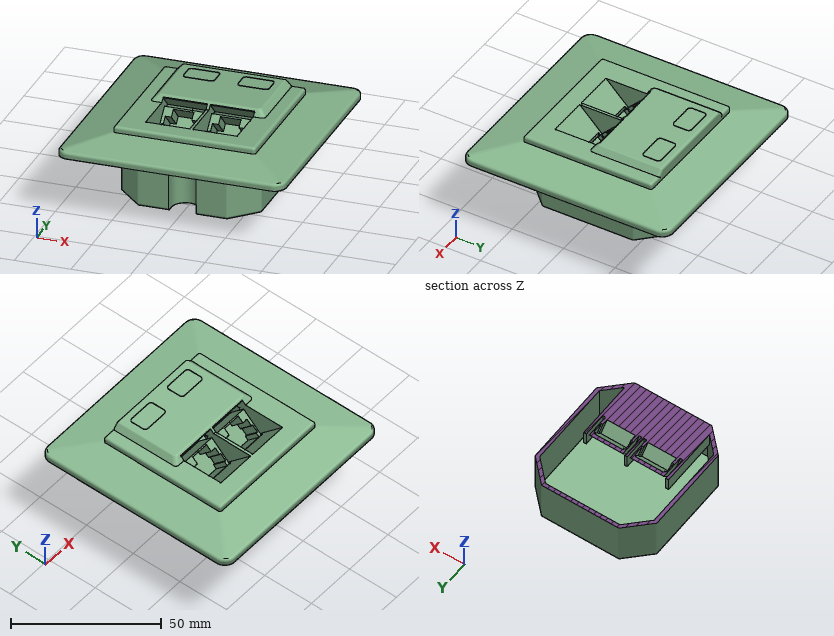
import cadquery as cq
import math

FRAME_SIZE = 80.0
FRAME_EDGE_HEIGHT = 2.2
FRAME_INNER_HEIGHT = 5.0
FRAME_CORNER_RADIUS = 4.2
RIDGE_RADIUS = 5.0
EDGE_ROUNDING = 1.0

INSERT_SIZE = 50.1
INSERT_TOP = 7.0

HOOD_TOP = 9.1
HOOD_WIDTH = 40.3
HOOD_FRONT_Y = -2.2
HOOD_BEVEL = HOOD_TOP - INSERT_TOP
HOOD_CORNER_RADIUS = 2.0

LABEL_WIDTH = 11.0
LABEL_LENGTH = 7.0
LABEL_CORNER_RADIUS = 1.2
LABEL_SPACING = 19.2
LABEL_Y = 18.6
LABEL_DEPTH = 0.2

PLATE_WIDTH = 68.0
PLATE_LENGTH = 27.2
PLATE_THICKNESS = 0.2
BODY_WIDTH = 49.6
BODY_LENGTH = 53.4
BODY_BOTTOM = -19.8
BODY_CORNER_CUT = 9.0
WALL = 1.6
INTERIOR_TOP = 3.8
NOTCH_RADIUS = 4.9
NOTCH_STRAIGHT = 3.0
NOTCH_TOP = -4.9

WINDOW_WIDTH = 15.6
WINDOW_SPACING = 16.6
WINDOW_FRONT_Y = -18.0
WINDOW_BACK_Y = -0.7
WINDOW_BACK_TOP = 8.2
RAMP_FOOT_Y = -9.1

HOLDER_BOTTOM = -8.0
HOLDER_BACK_Y = 0.5
HOLDER_SIDE_WALL = 1.2

JACK_WIDTH = 13.8
JACK_TOP_Y = -2.1
JACK_TOP_Z = 5.8
JACK_BOTTOM_Y = -10.1
JACK_THICKNESS = 7.8
SOCKET_DEPTH = 6.7
SOCKET_WIDTH = 11.4
SOCKET_TOP_Y = -4.5
SOCKET_BOTTOM_Y = -9.7
LATCH_WIDTH = 7.2
LATCH_TOP_Y = -2.5
GROOVE_WIDTH = 12.6
GROOVE_TOP_Y = -6.4
GROOVE_BOTTOM_Y = -8.5

WINDOW_CENTRES = (-WINDOW_SPACING / 2, WINDOW_SPACING / 2)


def block(width, length, bottom, top):
    return cq.Workplane("XY").workplane(offset=bottom).rect(width, length).extrude(top - bottom)


def side_prism(points, width, centre_x):
    """Extrude a (Y, Z) outline along X, centred on centre_x."""
    return (
        cq.Workplane("YZ").polyline(points).close().extrude(width / 2, both=True)
        .translate((centre_x, 0, 0))
    )


def make_frame():
    rise = FRAME_INNER_HEIGHT - FRAME_EDGE_HEIGHT
    slab = block(FRAME_SIZE, FRAME_SIZE, 0, FRAME_INNER_HEIGHT)
    slab = slab.edges("|Z").fillet(FRAME_CORNER_RADIUS)
    base_size = FRAME_SIZE + (FRAME_SIZE - INSERT_SIZE) * FRAME_EDGE_HEIGHT / rise
    pyramid = (
        cq.Workplane("XY").rect(base_size, base_size)
        .workplane(offset=FRAME_INNER_HEIGHT).rect(INSERT_SIZE, INSERT_SIZE)
        .loft(ruled=True)
    )
    pyramid = pyramid.edges("not #Z").fillet(RIDGE_RADIUS)
    frame = slab.intersect(pyramid)
    return frame.faces("<Y").edges(">Z").fillet(EDGE_ROUNDING)


def make_insert():
    insert = block(INSERT_SIZE, INSERT_SIZE, 0, INSERT_TOP)
    return insert.edges("|Z or >Z").fillet(EDGE_ROUNDING)


def make_hood():
    back_y = INSERT_SIZE / 2
    half_width = HOOD_WIDTH / 2
    skirt_z = INSERT_TOP - EDGE_ROUNDING
    side_outline = [
        (back_y, skirt_z),
        (back_y, HOOD_TOP),
        (HOOD_FRONT_Y + HOOD_BEVEL, HOOD_TOP),
        (HOOD_FRONT_Y, INSERT_TOP),
        (HOOD_FRONT_Y, skirt_z),
    ]
    front_outline = [
        (-half_width, skirt_z),
        (-half_width, INSERT_TOP),
        (HOOD_BEVEL - half_width, HOOD_TOP),
        (half_width - HOOD_BEVEL, HOOD_TOP),
        (half_width, INSERT_TOP),
        (half_width, skirt_z),
    ]
    across = cq.Workplane("XZ").polyline(front_outline).close().extrude(INSERT_SIZE, both=True)
    hood = side_prism(side_outline, HOOD_WIDTH, 0).intersect(across)
    hood = hood.edges("not (#X or #Y or #Z)").fillet(HOOD_CORNER_RADIUS)
    hood = hood.faces(">Y").edges("not #Z").fillet(EDGE_ROUNDING)
    return hood.faces(">Z").edges().fillet(EDGE_ROUNDING)


def octagon_block(width, length, corner_cut, bottom, top):
    return block(width, length, bottom, top).edges("|Z").chamfer(corner_cut)


def make_body():
    body = octagon_block(BODY_WIDTH, BODY_LENGTH, BODY_CORNER_CUT, BODY_BOTTOM, 0)
    return body.edges("|Z or <Z").fillet(EDGE_ROUNDING)


def make_notch(radius, top):
    """Round-ended slot running up the front wall of the box."""
    front_y = -BODY_LENGTH / 2
    return (
        cq.Workplane("XY").workplane(offset=BODY_BOTTOM)
        .moveTo(-radius, front_y).lineTo(-radius, front_y + NOTCH_STRAIGHT)
        .threePointArc((0, front_y + NOTCH_STRAIGHT + radius), (radius, front_y + NOTCH_STRAIGHT))
        .lineTo(radius, front_y).close().extrude(top - BODY_BOTTOM)
    )


def make_interior():
    """Hollow of the box, leaving the jack holder and the wall around the notch."""
    floor = BODY_BOTTOM + WALL
    corner_cut = BODY_CORNER_CUT - WALL * (2 - math.sqrt(2))
    interior = octagon_block(
        BODY_WIDTH - 2 * WALL, BODY_LENGTH - 2 * WALL, corner_cut, floor, INTERIOR_TOP)

    holder_width = WINDOW_SPACING + WINDOW_WIDTH + 2 * HOLDER_SIDE_WALL
    holder_length = HOLDER_BACK_Y + BODY_LENGTH / 2
    holder = block(holder_width, holder_length, HOLDER_BOTTOM, INTERIOR_TOP)
    holder = holder.translate((0, HOLDER_BACK_Y - holder_length / 2, 0))
    notch_wall = make_notch(NOTCH_RADIUS + WALL, NOTCH_TOP + WALL)
    return interior.cut(holder).cut(notch_wall)


def make_labels():
    return (
        cq.Workplane("XY").workplane(offset=HOOD_TOP - LABEL_DEPTH).center(0, LABEL_Y)
        .rarray(LABEL_SPACING, 0.8, 2, 1).rect(LABEL_WIDTH, LABEL_LENGTH).extrude(LABEL_DEPTH)
        .edges("|Z").fillet(LABEL_CORNER_RADIUS)
    )


def make_window(centre_x):
    """Shaft into the hollow box, between the front ramp and a parallel ceiling under the hood."""
    ramp_foot_z = INSERT_TOP - (RAMP_FOOT_Y - WINDOW_FRONT_Y)
    outline = [
        (WINDOW_FRONT_Y, INSERT_TOP),
        (RAMP_FOOT_Y, ramp_foot_z),
        (RAMP_FOOT_Y, HOLDER_BOTTOM),
        (HOLDER_BACK_Y, HOLDER_BOTTOM),
        (HOLDER_BACK_Y, INTERIOR_TOP),
        (WINDOW_BACK_Y + WINDOW_BACK_TOP - INTERIOR_TOP, INTERIOR_TOP),
        (WINDOW_BACK_Y, WINDOW_BACK_TOP),
        (WINDOW_BACK_Y, HOOD_TOP),
        (WINDOW_FRONT_Y, HOOD_TOP),
    ]
    return side_prism(outline, WINDOW_WIDTH, centre_x)


def jack_face_z(y):
    """Height of the jack's 45 degree front face at a given Y."""
    return JACK_TOP_Z + y - JACK_TOP_Y


def jack_slab(top_y, bottom_y, depth, width, centre_x):
    """Block behind the jack's front face, running square into it from top_y to bottom_y."""
    inward = depth / math.sqrt(2)
    top_z = jack_face_z(top_y)
    bottom_z = jack_face_z(bottom_y)
    outline = [
        (top_y, top_z),
        (top_y + inward, top_z - inward),
        (bottom_y + inward, bottom_z - inward),
        (bottom_y, bottom_z),
    ]
    return side_prism(outline, width, centre_x)


def make_jack_clearance(centre_x):
    """Space straight above a jack's front face."""
    outline = [
        (JACK_TOP_Y, INSERT_TOP),
        (JACK_TOP_Y, JACK_TOP_Z),
        (JACK_BOTTOM_Y, jack_face_z(JACK_BOTTOM_Y)),
        (JACK_BOTTOM_Y, INSERT_TOP),
    ]
    return side_prism(outline, JACK_WIDTH, centre_x)


def make_socket(centre_x):
    """Plug opening: main slot, narrower latch slot above it and side grooves."""
    slot = jack_slab(SOCKET_TOP_Y, SOCKET_BOTTOM_Y, SOCKET_DEPTH, SOCKET_WIDTH, centre_x)
    latch = jack_slab(LATCH_TOP_Y, SOCKET_BOTTOM_Y, SOCKET_DEPTH, LATCH_WIDTH, centre_x)
    grooves = jack_slab(GROOVE_TOP_Y, GROOVE_BOTTOM_Y, SOCKET_DEPTH, GROOVE_WIDTH, centre_x)
    return slot.union(latch).union(grooves)


housing = make_frame().union(make_insert()).union(make_hood()).union(make_body())
housing = housing.union(block(PLATE_WIDTH, PLATE_LENGTH, -PLATE_THICKNESS, 0))
housing = housing.cut(make_labels())
housing = housing.cut(make_interior()).cut(make_notch(NOTCH_RADIUS, NOTCH_TOP))
for window_x in WINDOW_CENTRES:
    housing = housing.cut(make_window(window_x))

for window_x in WINDOW_CENTRES:
    jack = jack_slab(JACK_TOP_Y, JACK_BOTTOM_Y, JACK_THICKNESS, JACK_WIDTH, window_x)
    housing = housing.union(jack).cut(make_jack_clearance(window_x)).cut(make_socket(window_x))

result = housing